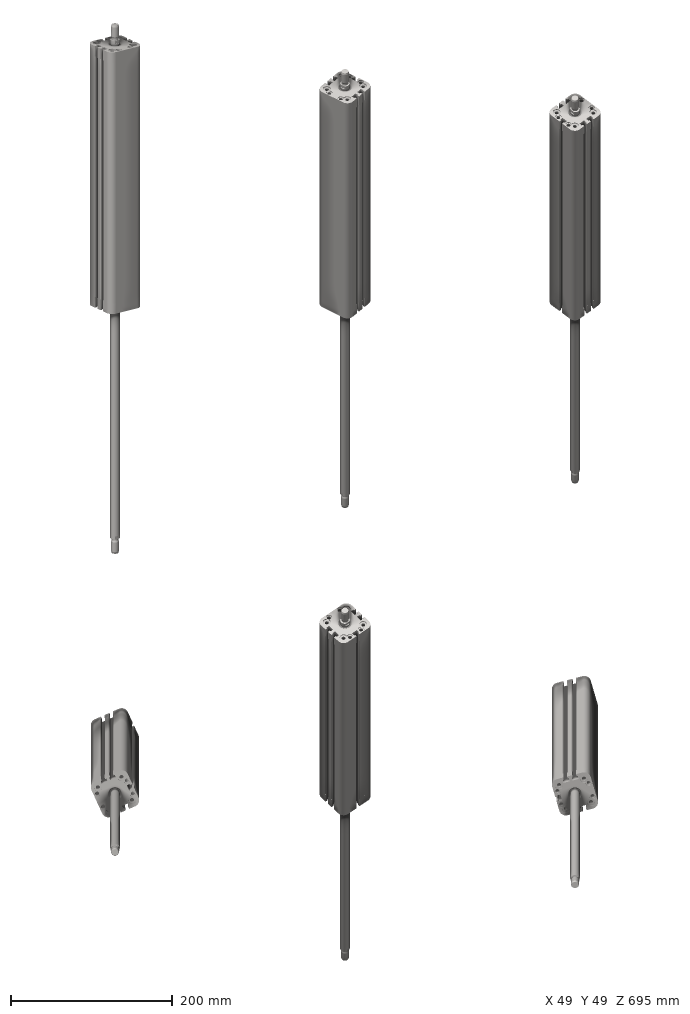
import cadquery as cq

BODY_WIDTH = 49.0
SIDE_FACE = -BODY_WIDTH / 2
CORNER_RADIUS = 8.0

TOTAL_LENGTH = 695.0
ROD_AXIS = ((0, 0, 0), (0, 0, 1))
BODY_BOTTOM = 325.0
BODY_TOP = 669.0
CAP_HEIGHT = 14.0
BARREL_BOTTOM = BODY_BOTTOM + CAP_HEIGHT
BARREL_TOP = BODY_TOP - CAP_HEIGHT

SLOT_NECK_WIDTH = 5.0
SLOT_UNDERCUT_WIDTH = 7.5
SLOT_LIP = 3.0
SLOT_DEPTH = 7.0
SLOT_OFFSET = 5.7
MOUTH_CHAMFER = 1.05

BARREL_BORE = 32.0
ROD_RECESS_DIAMETER = 17.0
ROD_RECESS_FLOOR_DIAMETER = 14.0
ROD_RECESS_DEPTH = 1.5

CORNER_HOLE_OFFSET = 16.0
SIDE_HOLE_X = 20.0
SIDE_HOLE_Y = 9.0
CORNER_SEAT_DIAMETER = 10.0
SIDE_SEAT_DIAMETER = 7.5
SEAT_DEPTH = 1.5
HOLE_DIAMETER = 4.9
HOLE_DEPTH = CAP_HEIGHT / 2

ROD_DIAMETER = 12.0
STUD_DIAMETER = 10.0
STUD_ROOT_DIAMETER = 8.0
STUD_END_CHAMFER = 2.5
STUD_THREAD_END = 15.0
NECK_START = 17.5
SHOULDER = 19.5
FLAT_LENGTH = 4.0
FLAT_WIDTH = 10.0


def prism(points, bottom, height):
    """Vertical prism on a closed outline."""
    return cq.Workplane("XY").workplane(offset=bottom).polyline(points).close().extrude(height)


def cylinder(diameter, bottom, height):
    """Vertical cylinder on the rod axis."""
    return cq.Workplane("XY").workplane(offset=bottom).circle(diameter / 2).extrude(height)


def t_slot(bottom, height):
    """T-slot cutter in the middle of the -Y face."""
    neck = SLOT_NECK_WIDTH / 2
    undercut = SLOT_UNDERCUT_WIDTH / 2
    lip = SIDE_FACE + SLOT_LIP
    floor = SIDE_FACE + SLOT_DEPTH
    outline = [
        (neck, SIDE_FACE),
        (neck, lip),
        (undercut, lip),
        (undercut, floor),
        (-undercut, floor),
        (-undercut, lip),
        (-neck, lip),
        (-neck, SIDE_FACE),
    ]
    return prism(outline, bottom, height)


def slot_mouth(bottom, height):
    """Cutter that chamfers both lips of a T-slot in the middle of the -Y face."""
    neck = SLOT_NECK_WIDTH / 2
    mouth = neck + MOUTH_CHAMFER
    inner = SIDE_FACE + MOUTH_CHAMFER
    return prism([(mouth, SIDE_FACE), (neck, inner), (-neck, inner), (-mouth, SIDE_FACE)], bottom, height)


def cut_at_slots(body, cutter):
    """Cut a copy of the -Y face cutter at each of the five slot positions."""
    body = body.cut(cutter.rotate(*ROD_AXIS, -90))
    for side_angle in (0, 180):
        for offset in (-SLOT_OFFSET, SLOT_OFFSET):
            body = body.cut(cutter.translate((offset, 0, 0)).rotate(*ROD_AXIS, side_angle))
    return body


def slotted_block(bottom, height):
    """Rounded square prism with the five sensor slots along its full height."""
    base = cq.Workplane("XY").workplane(offset=bottom)
    block = base.rect(BODY_WIDTH, BODY_WIDTH).extrude(height).edges("|Z").fillet(CORNER_RADIUS)
    return cut_at_slots(block, t_slot(bottom, height))


def make_barrel():
    """Extruded tube with chamfered slot mouths."""
    height = BARREL_TOP - BARREL_BOTTOM
    barrel = slotted_block(BARREL_BOTTOM, height)
    barrel = cut_at_slots(barrel, slot_mouth(BARREL_BOTTOM, height))
    return barrel.cut(cylinder(BARREL_BORE, BARREL_BOTTOM, height))


def rod_recess():
    """Tapered recess around the rod in the top cap's upper face."""
    rim = cq.Workplane("XY").workplane(offset=BODY_TOP).circle(ROD_RECESS_DIAMETER / 2)
    return rim.workplane(offset=-ROD_RECESS_DEPTH).circle(ROD_RECESS_FLOOR_DIAMETER / 2).loft()


def cut_stepped_holes(cap, x, y, seat_diameter):
    """Cut four stepped blind holes at (+-x, +-y) into the upper face of a cap."""
    face = cap.faces(">Z").workplane(origin=(0, 0, 0))
    centers = face.rect(2 * x, 2 * y, forConstruction=True).vertices()
    return centers.cboreHole(HOLE_DIAMETER, seat_diameter, SEAT_DEPTH, HOLE_DEPTH)


def make_top_cap():
    """End cap with the rod hole, its recess and the stepped holes."""
    cap = slotted_block(BARREL_TOP, CAP_HEIGHT)
    cap = cap.cut(cylinder(ROD_DIAMETER, BARREL_TOP, CAP_HEIGHT))
    cap = cap.cut(rod_recess())
    cap = cut_stepped_holes(cap, SIDE_HOLE_X, SIDE_HOLE_Y, SIDE_SEAT_DIAMETER)
    return cut_stepped_holes(cap, CORNER_HOLE_OFFSET, CORNER_HOLE_OFFSET, CORNER_SEAT_DIAMETER)


def make_bottom_cap():
    """Mirror image of the top cap about the middle of the body."""
    return make_top_cap().mirror("XY", (0, 0, (BODY_TOP + BODY_BOTTOM) / 2))


def make_rod():
    """Through rod with studs, undercut necks and wrench flats at both ends."""
    lower_end = [
        (0, 0),
        (STUD_ROOT_DIAMETER / 2, 0),
        (STUD_DIAMETER / 2, STUD_END_CHAMFER),
        (STUD_DIAMETER / 2, STUD_THREAD_END),
        (STUD_ROOT_DIAMETER / 2, NECK_START),
        (STUD_ROOT_DIAMETER / 2, SHOULDER),
        (ROD_DIAMETER / 2, SHOULDER),
    ]
    upper_end = [(r, TOTAL_LENGTH - z) for r, z in reversed(lower_end)]
    outline = cq.Workplane("XZ").polyline(lower_end + upper_end).close()
    rod = outline.revolve(360, (0, 0, 0), (0, 1, 0))
    flat_cutter = cq.Workplane("XY").box(ROD_DIAMETER, ROD_DIAMETER, FLAT_LENGTH)
    flat_middle = SHOULDER + FLAT_LENGTH / 2
    cutter_offset = (FLAT_WIDTH + ROD_DIAMETER) / 2
    for z in (flat_middle, TOTAL_LENGTH - flat_middle):
        for x in (-cutter_offset, cutter_offset):
            rod = rod.cut(flat_cutter.translate((x, 0, z)))
    return rod


barrel = make_barrel()
top_cap = make_top_cap()
bottom_cap = make_bottom_cap()
rod = make_rod()
result = cq.Compound.makeCompound([barrel.val(), top_cap.val(), bottom_cap.val(), rod.val()])